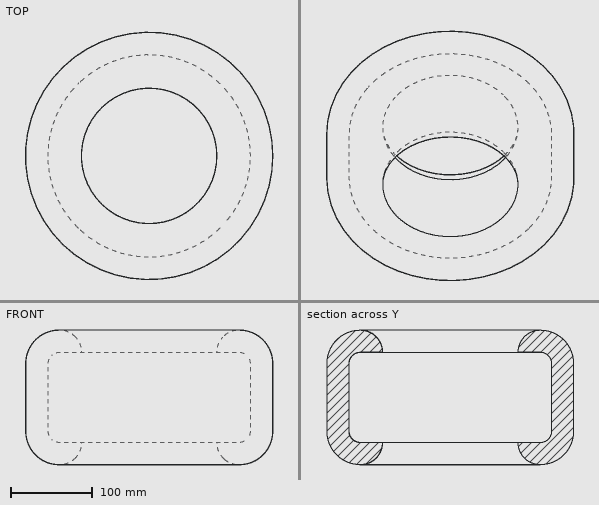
import cadquery as cq
import math

outer_radius = 151.5
width = 165.0
shoulder_radius = 41.2
wall = 27.5

half_width = width / 2
crown_radius = outer_radius - shoulder_radius
bore_radius = crown_radius - wall
shoulder_height = half_width - shoulder_radius
cavity_radius = outer_radius - wall
cavity_half_width = half_width - wall
cavity_corner_radius = shoulder_radius - wall


def arc_middle(center_radius, center_height, radius, radial_side, height_side):
    """Midpoint of a quarter arc, on the given sides of its center."""
    offset = radius * math.sqrt(0.5)
    return (center_radius + radial_side * offset, center_height + height_side * offset)


section = (
    cq.Workplane("XZ")
    .moveTo(bore_radius, -cavity_half_width)
    .threePointArc(
        arc_middle(crown_radius, -cavity_half_width, wall, -1, -1),
        (crown_radius, -half_width),
    )
    .threePointArc(
        arc_middle(crown_radius, -shoulder_height, shoulder_radius, 1, -1),
        (outer_radius, -shoulder_height),
    )
    .lineTo(outer_radius, shoulder_height)
    .threePointArc(
        arc_middle(crown_radius, shoulder_height, shoulder_radius, 1, 1),
        (crown_radius, half_width),
    )
    .threePointArc(
        arc_middle(crown_radius, cavity_half_width, wall, -1, 1),
        (bore_radius, cavity_half_width),
    )
    .lineTo(crown_radius, cavity_half_width)
    .threePointArc(
        arc_middle(crown_radius, shoulder_height, cavity_corner_radius, 1, 1),
        (cavity_radius, shoulder_height),
    )
    .lineTo(cavity_radius, -shoulder_height)
    .threePointArc(
        arc_middle(crown_radius, -shoulder_height, cavity_corner_radius, 1, -1),
        (crown_radius, -cavity_half_width),
    )
    .close()
)

axis_start = (0, 0, 0)
axis_end = (0, 1, 0)
result = section.revolve(360, axis_start, axis_end)